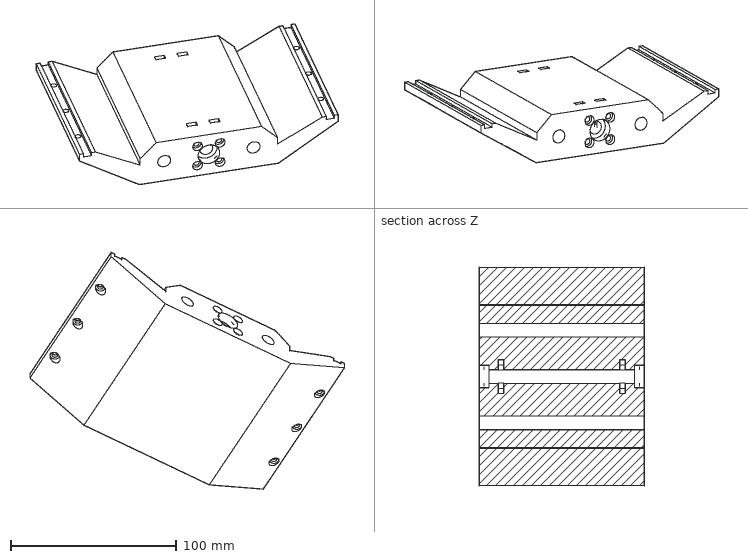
import cadquery as cq
import math

LENGTH = 100.0
WIDTH = 162.0
HEIGHT = 29.0
TOP = HEIGHT / 2
BOTTOM = -HEIGHT / 2
HALF_WIDTH = WIDTH / 2

DECK_HALF_WIDTH = 33.0
BODY_HALF_WIDTH = 43.0
DECK_CHAMFER_DROP = 10.0
BASE_HALF_WIDTH = 43.5
WING_ROOT_Z = -0.2
WING_TIP_THICKNESS = 4.9
RAIL_WIDTH = 10.0

GROOVE_INSET = 2.5
GROOVE_WIDTH = 5.0
GROOVE_DEPTH = 2.2
WING_HOLE_DIAMETER = 3.4
WING_HOLE_INSET = GROOVE_INSET + GROOVE_WIDTH / 2
WING_HOLE_PITCH = 28.0
WING_HEAD_DIAMETER = 6.0
WING_HEAD_SEAT_DEPTH = 5.0

BORE_DIAMETER = 8.1
SIDE_BORE_OFFSET = 28.0
CENTRE_RECESS_DIAMETER = 13.5
CENTRE_RECESS_DEPTH = 6.0

SCREW_CIRCLE_DIAMETER = 20.0
SCREW_OFFSET = SCREW_CIRCLE_DIAMETER / 2 * math.sqrt(0.5)
SCREW_DIAMETER = 3.4
SCREW_HEAD_DIAMETER = 6.0
SCREW_HEAD_DEPTH = 3.0
NUT_WIDTH = 6.1
HEX_HALF_ANGLE = math.radians(30)
NUT_SLOT_THICKNESS = 3.1
NUT_SLOT_POSITION = 36.75


def make_body():
    right_half = [
        (DECK_HALF_WIDTH, TOP),
        (BODY_HALF_WIDTH, TOP - DECK_CHAMFER_DROP),
        (BODY_HALF_WIDTH, WING_ROOT_Z),
        (HALF_WIDTH - RAIL_WIDTH, TOP),
        (HALF_WIDTH - GROOVE_INSET - GROOVE_WIDTH, TOP),
        (HALF_WIDTH - GROOVE_INSET - GROOVE_WIDTH, TOP - GROOVE_DEPTH),
        (HALF_WIDTH - GROOVE_INSET, TOP - GROOVE_DEPTH),
        (HALF_WIDTH - GROOVE_INSET, TOP),
        (HALF_WIDTH, TOP),
        (HALF_WIDTH, TOP - WING_TIP_THICKNESS),
        (BASE_HALF_WIDTH, BOTTOM),
    ]
    left_half = [(-y, z) for y, z in reversed(right_half)]
    section = cq.Workplane("YZ").polyline(right_half + left_half).close()
    return section.extrude(LENGTH / 2, both=True)


def lengthwise_cylinders(points, diameter, start, length):
    plane = cq.Workplane("YZ", origin=(start, 0, 0))
    return plane.pushPoints(points).circle(diameter / 2).extrude(length)


def cut_from_both_ends(body, points, diameter, depth):
    for start in (-LENGTH / 2, LENGTH / 2 - depth):
        body = body.cut(lengthwise_cylinders(points, diameter, start, depth))
    return body


def cut_bores(body):
    points = [(-SIDE_BORE_OFFSET, 0), (0, 0), (SIDE_BORE_OFFSET, 0)]
    body = body.cut(lengthwise_cylinders(points, BORE_DIAMETER, -LENGTH / 2, LENGTH))
    return cut_from_both_ends(body, [(0, 0)], CENTRE_RECESS_DIAMETER, CENTRE_RECESS_DEPTH)


def cut_end_screws(body):
    points = [(y, z) for y in (-SCREW_OFFSET, SCREW_OFFSET) for z in (-SCREW_OFFSET, SCREW_OFFSET)]
    body = body.cut(lengthwise_cylinders(points, SCREW_DIAMETER, -LENGTH / 2, LENGTH))
    return cut_from_both_ends(body, points, SCREW_HEAD_DIAMETER, SCREW_HEAD_DEPTH)


def cut_nut_slots(body):
    half = NUT_WIDTH / 2
    shoulder_z = -SCREW_OFFSET - half * math.tan(HEX_HALF_ANGLE)
    point_z = -SCREW_OFFSET - half / math.cos(HEX_HALF_ANGLE)
    for x in (-NUT_SLOT_POSITION, NUT_SLOT_POSITION):
        for y in (-SCREW_OFFSET, SCREW_OFFSET):
            outline = [(y - half, TOP), (y - half, shoulder_z), (y, point_z),
                       (y + half, shoulder_z), (y + half, TOP)]
            plane = cq.Workplane("YZ", origin=(x, 0, 0))
            slot = plane.polyline(outline).close().extrude(NUT_SLOT_THICKNESS / 2, both=True)
            body = body.cut(slot)
    return body


def cut_wing_holes(body):
    y = HALF_WIDTH - WING_HOLE_INSET
    points = [(i * WING_HOLE_PITCH, side * y) for i in (-1, 0, 1) for side in (-1, 1)]
    base = cq.Workplane("XY", origin=(0, 0, BOTTOM))
    head_length = HEIGHT - WING_HEAD_SEAT_DEPTH
    holes = base.pushPoints(points).circle(WING_HOLE_DIAMETER / 2).extrude(HEIGHT)
    heads = base.pushPoints(points).circle(WING_HEAD_DIAMETER / 2).extrude(head_length)
    return body.cut(holes).cut(heads)


result = make_body()
result = cut_bores(result)
result = cut_end_screws(result)
result = cut_nut_slots(result)
result = cut_wing_holes(result)